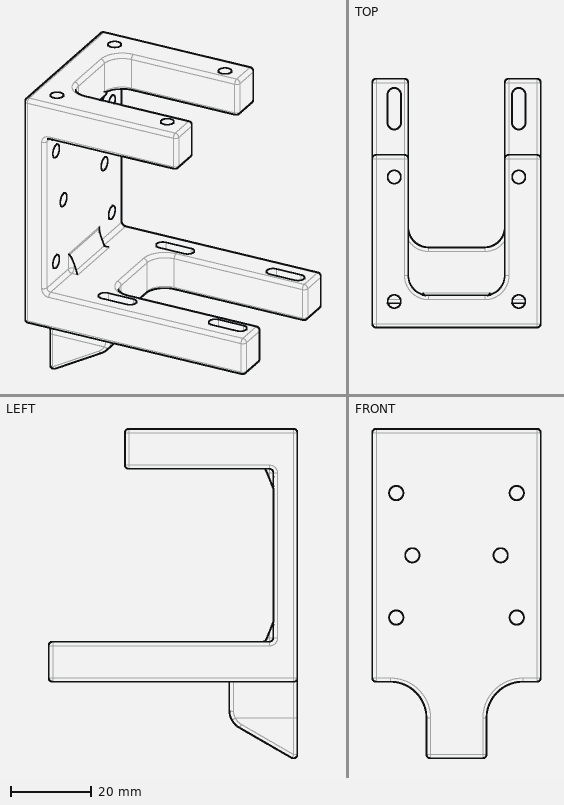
import cadquery as cq
import math

WIDTH = 42.0
HEIGHT = 63.0
WALL_THICKNESS = 6.0
ARM_HEIGHT = 10.0
UPPER_REACH = 43.0
LOWER_REACH = 62.0
EDGE_RADIUS = 1.0
OUTER_EDGE_RADIUS = 0.999 * EDGE_RADIUS

PRONG_WIDTH = 9.0
FORK_WIDTH = WIDTH - 2 * PRONG_WIDTH
FORK_CORNER_RADIUS = 5.0
UPPER_FORK_START = 8.0
LOWER_FORK_START = 20.0

TAIL_WIDTH = 15.0
TAIL_DEPTH = 17.0
TAIL_STRAIGHT = 10.0
TAIL_SLOPE = math.radians(30)
TAIL_FLARE_RADIUS = 9.0
TAIL_HEEL_RADIUS = 5.0
TAIL_ROOT = 3.0

RIB_WIDTH = TAIL_WIDTH
RIB_DEPTH = UPPER_FORK_START - WALL_THICKNESS
RIB_HEIGHT = 5.0
RIB_FOOT_WIDTH = RIB_WIDTH + 2 * EDGE_RADIUS

HOLE_SPACING = 31.0
ARM_HOLE_DIAMETER = 3.3
ARM_HOLE_SETBACK = 6.5
ARM_HOLE_DEPTH = 12.0
SLOT_TRAVEL = 7.0
SLOT_SETBACK = 23.5
WALL_HOLE_DIAMETER = 3.5
WALL_HOLE_PITCH = 15.5
OUTER_HOLE_SPACING = 30.0
MIDDLE_HOLE_SPACING = 22.0

CEILING = -ARM_HEIGHT
FLOOR = ARM_HEIGHT - HEIGHT
BOTTOM = -HEIGHT
TAIL_HEEL = BOTTOM - TAIL_STRAIGHT
TAIL_TIP = TAIL_HEEL - TAIL_DEPTH * math.tan(TAIL_SLOPE)

CLEARANCE = 1.0
TOLERANCE = 0.01


def box(width, y_start, y_end, z_start, z_end):
    """Box centred on X between two Y and two Z positions."""
    base = cq.Workplane("XY", origin=(0, (y_start + y_end) / 2, z_start))
    return base.rect(width, y_end - y_start).extrude(z_end - z_start)


def side_extrusion(points, width):
    """Closed (Y, Z) outline extruded along X, centred on X = 0."""
    return cq.Workplane("YZ").polyline(points).close().extrude(width / 2, both=True)


def within(width, y_start, y_end, z_start, z_end):
    """Selector for edges whose centres lie in a box centred on X."""
    low = (-width / 2, y_start - TOLERANCE, z_start - TOLERANCE)
    high = (width / 2, y_end + TOLERANCE, z_end + TOLERANCE)
    return cq.selectors.BoxSelector(low, high)


def fork_opening(y_start, z_start, z_end):
    """Round-cornered opening between the prongs of an arm, open at the arm's free end."""
    opening = box(FORK_WIDTH, y_start, LOWER_REACH + CLEARANCE, z_start, z_end)
    return opening.edges("|Z and <Y").fillet(FORK_CORNER_RADIUS)


def is_rounded(edge):
    """Whether a bracket edge gets rounded: all but the seams beside the inner corners and in the forks."""
    middle = edge.Center()
    if abs(middle.x) > WIDTH / 2 - TOLERANCE:
        return True
    corner_end = WALL_THICKNESS + EDGE_RADIUS
    if WALL_THICKNESS - TOLERANCE < middle.y < corner_end + TOLERANCE:
        return False
    at_arm_end = min(abs(middle.y - UPPER_REACH), abs(middle.y - LOWER_REACH)) < TOLERANCE
    is_upright = abs(edge.tangentAt(0).z) > 1 - TOLERANCE
    return at_arm_end or not is_upright


def bracket():
    """C-shaped bracket with forked arms and all its edges rounded."""
    outline = [
        (0, 0),
        (UPPER_REACH, 0),
        (UPPER_REACH, CEILING),
        (WALL_THICKNESS, CEILING),
        (WALL_THICKNESS, FLOOR),
        (LOWER_REACH, FLOOR),
        (LOWER_REACH, BOTTOM),
        (0, BOTTOM),
    ]
    body = side_extrusion(outline, WIDTH)
    inner_corners = within(FORK_WIDTH, WALL_THICKNESS, WALL_THICKNESS, FLOOR, CEILING)
    body = body.edges(inner_corners).fillet(EDGE_RADIUS)
    body = body.cut(fork_opening(UPPER_FORK_START, CEILING - CLEARANCE, CLEARANCE))
    body = body.cut(fork_opening(LOWER_FORK_START, BOTTOM - CLEARANCE, FLOOR + CLEARANCE))

    rounded = [edge for edge in body.edges().vals() if is_rounded(edge)]
    return body.newObject(rounded).fillet(OUTER_EDGE_RADIUS)


def floor_rib():
    """Triangular rib between wall and floor with a rounded foot all around."""
    inside = WALL_THICKNESS - CLEARANCE
    below = FLOOR - CLEARANCE
    toe = WALL_THICKNESS + RIB_DEPTH
    peak = FLOOR + RIB_HEIGHT
    rib_outline = [(WALL_THICKNESS, peak), (toe, FLOOR), (toe, below), (inside, below), (inside, peak)]
    slab_end = toe + 2 * EDGE_RADIUS
    slab_top = peak + 2 * EDGE_RADIUS
    wall = box(WIDTH, inside, WALL_THICKNESS, below, slab_top)
    floor = box(WIDTH, inside, slab_end, below, FLOOR)
    corner = wall.union(floor).union(side_extrusion(rib_outline, RIB_WIDTH)).clean()

    on_wall = within(RIB_FOOT_WIDTH, WALL_THICKNESS, WALL_THICKNESS, FLOOR, peak)
    on_floor = within(RIB_FOOT_WIDTH, WALL_THICKNESS, toe, FLOOR, FLOOR)
    wall_to_floor = within(WIDTH, WALL_THICKNESS, WALL_THICKNESS, FLOOR, FLOOR)
    corner = corner.edges(on_wall + on_floor + wall_to_floor).fillet(EDGE_RADIUS)
    return corner.intersect(box(RIB_FOOT_WIDTH, inside, slab_end, below, slab_top))


def ceiling_rib():
    """Mirror image of the floor rib, cut off flush with the end of the upper fork."""
    rib = floor_rib().mirror("XY", (0, 0, BOTTOM / 2))
    return rib.intersect(box(WIDTH, 0, UPPER_FORK_START, BOTTOM, 0))


def tail():
    """Wedge tail whose sides flare into the underside of the lower arm."""
    root = BOTTOM + TAIL_ROOT
    half = TAIL_WIDTH / 2
    flare = half + TAIL_FLARE_RADIUS
    flare_start = BOTTOM - TAIL_FLARE_RADIUS
    mid = TAIL_FLARE_RADIUS * (1 - math.sqrt(0.5))
    shoulder = flare + EDGE_RADIUS
    front = (
        cq.Workplane("XZ")
        .moveTo(0, TAIL_TIP)
        .lineTo(half, TAIL_TIP)
        .lineTo(half, flare_start)
        .threePointArc((half + mid, BOTTOM - mid), (flare, BOTTOM))
        .lineTo(shoulder, BOTTOM)
        .lineTo(shoulder, root)
        .lineTo(0, root)
        .mirrorY()
        .extrude(-TAIL_DEPTH)
    )
    side = side_extrusion([(0, root), (TAIL_DEPTH, root), (TAIL_DEPTH, TAIL_HEEL), (0, TAIL_TIP)], WIDTH)
    heel = cq.selectors.NearestToPointSelector((0, TAIL_DEPTH, TAIL_HEEL))
    wedge = front.intersect(side.edges(heel).fillet(TAIL_HEEL_RADIUS))

    heel_seams = within(TAIL_WIDTH / 2, EDGE_RADIUS, TAIL_DEPTH, TAIL_TIP, TAIL_HEEL + TAIL_HEEL_RADIUS)
    depth_edges = cq.selectors.StringSyntaxSelector("|Y")
    exposed = within(WIDTH, 0, TAIL_DEPTH, TAIL_TIP, BOTTOM) - heel_seams - depth_edges
    return wedge.edges(exposed).fillet(OUTER_EDGE_RADIUS)


def square_pattern(setback):
    """Corners of the fastener square whose first row lies at the given Y."""
    x = HOLE_SPACING / 2
    return [(side * x, setback + row * HOLE_SPACING) for side in (-1, 1) for row in (0, 1)]


def arm_holes():
    """Round holes through the upper arm and matching slots through the lower arm."""
    upper = (
        cq.Workplane("XY")
        .pushPoints(square_pattern(ARM_HOLE_SETBACK))
        .circle(ARM_HOLE_DIAMETER / 2)
        .extrude(-ARM_HOLE_DEPTH)
    )
    lower = (
        cq.Workplane("XY", origin=(0, 0, BOTTOM))
        .pushPoints(square_pattern(SLOT_SETBACK))
        .slot2D(SLOT_TRAVEL + ARM_HOLE_DIAMETER, ARM_HOLE_DIAMETER, 90)
        .extrude(ARM_HEIGHT)
    )
    return upper.union(lower)


def wall_holes():
    """Six holes through the back wall: an outer pair above and below a closer middle pair."""
    points = []
    for row in (-1, 0, 1):
        spacing = OUTER_HOLE_SPACING if row else MIDDLE_HOLE_SPACING
        for side in (-1, 1):
            points.append((side * spacing / 2, BOTTOM / 2 + row * WALL_HOLE_PITCH))
    return cq.Workplane("XZ").pushPoints(points).circle(WALL_HOLE_DIAMETER / 2).extrude(-WALL_THICKNESS)


result = bracket().union(tail())
result = result.union(floor_rib()).union(ceiling_rib())
result = result.cut(arm_holes()).cut(wall_holes()).clean()